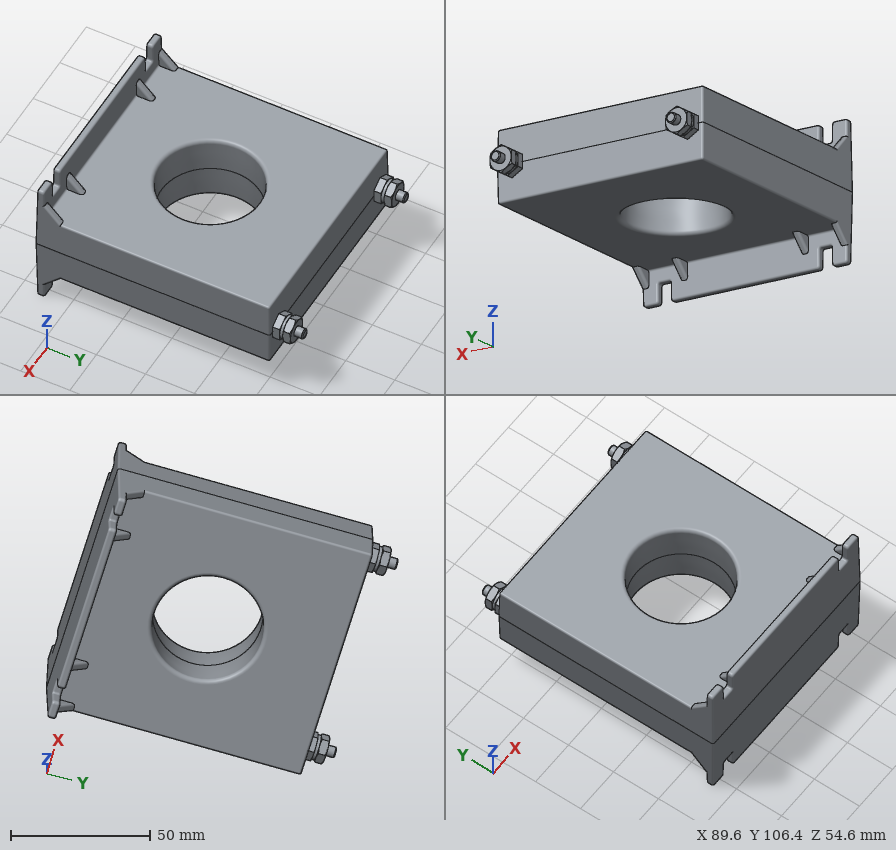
import cadquery as cq
import math

tolerance = 0.01
cut_margin = 1.0

overall_length = 106.38
overall_height = 54.61

draft_angle = 1.0
draft_slope = math.tan(math.radians(draft_angle))
housing_width = 89.59
front_y = -47.1
back_y = 48.55
housing_depth = back_y - front_y
housing_mid_y = (front_y + back_y) / 2
body_half_height = 14.0
flange_half_height = overall_height / 2
edge_radius = 0.8

window_radius = 19.85
window_rim_radius = 1.6

flange_root_y = -43.5
flange_corner_radius = 1.2
slot_spacing = 69.9
slot_width = 5.4
slot_floor_z = 19.45
slot_corner_radius = 0.8
slot_cut_length = 20.0

gusset_length = 6.5
web_overlap = 1.0
gusset_width = 3.0
inner_gusset_x = 26.2
gusset_edge_radius = 1.0

flange_top_y = flange_root_y - (flange_half_height - body_half_height) * draft_slope
gusset_top_z = body_half_height + gusset_length / (1 - draft_slope)

terminal_spacing = 76.2
hex_flats = 9.25
base_nut_height = 2.9
washer_thickness = 1.2
washer_diameter = hex_flats
top_nut_height = 3.2
nut_chamfer_height = 0.4
nut_chamfer_depth = 0.75
stud_diameter = 4.0
stud_chamfer = 0.4
stud_end_y = front_y + overall_length

hex_corners = hex_flats / math.cos(math.pi / 6)
washer_y = back_y + base_nut_height
top_nut_y = washer_y + washer_thickness


def side_x(z):
    """Half width of the drafted housing at height z."""
    return housing_width / 2 - z * draft_slope


def slab_x(x_start, x_end, points):
    """Prism between two X positions from an outline of (y, z) points."""
    return cq.Workplane("YZ").workplane(offset=x_start).polyline(points).close().extrude(x_end - x_start)


def gusset_web(x_start, x_end):
    """45 degree web behind the flange, with its sloping edges rounded."""
    toe_y = flange_root_y + gusset_length
    outline = [
        (toe_y + web_overlap, body_half_height - web_overlap),
        (front_y, body_half_height - web_overlap),
        (front_y, body_half_height + toe_y - front_y),
    ]
    web = slab_x(x_start, x_end, outline)
    return web.faces(">(0, 1, 1)").edges("not |X").fillet(gusset_edge_radius)


def drafted_envelope():
    """Solid with the full flange height whose four sides lean inward."""
    return (
        cq.Workplane("XY")
        .center(0, housing_mid_y)
        .rect(housing_width, housing_depth)
        .extrude(flange_half_height, taper=draft_angle)
    )


def clearance_above_body():
    """Space above the body and behind the flange, without the four gussets."""
    top_z = flange_half_height + cut_margin
    space_top_y = flange_root_y - (top_z - body_half_height) * draft_slope
    space = slab_x(
        -housing_width,
        housing_width,
        [
            (flange_root_y, body_half_height),
            (space_top_y, top_z),
            (back_y + cut_margin, top_z),
            (back_y + cut_margin, body_half_height),
        ],
    )
    outer_face_x = side_x(body_half_height) - gusset_width
    for side in (-1, 1):
        middle = side * inner_gusset_x
        space = space.cut(gusset_web(middle - gusset_width / 2, middle + gusset_width / 2))
        ends = sorted((side * outer_face_x, side * housing_width))
        space = space.cut(gusset_web(*ends))
    return space


def slot_cutters():
    """Open-topped mounting slots with rounded floor corners."""
    return (
        cq.Workplane("XY")
        .workplane(offset=slot_floor_z)
        .pushPoints([(-slot_spacing / 2, front_y), (slot_spacing / 2, front_y)])
        .rect(slot_width, slot_cut_length)
        .extrude(flange_half_height)
        .edges("|Y and <Z")
        .fillet(slot_corner_radius)
    )


def filleted(solid, belongs, radius):
    """Round the edges of the solid that pass the test."""
    return solid.newObject([edge for edge in solid.edges().vals() if belongs(edge)]).fillet(radius)


def near(first, second):
    return abs(first - second) < tolerance


def is_flange_root(edge):
    """Inside corner between the body top and the flange back."""
    middle = edge.Center()
    return near(middle.z, body_half_height) and near(middle.y, flange_root_y)


def is_tab_corner(edge):
    """Corners of the flange top, at its ends and at the mouths of the slots."""
    start, end = edge.startPoint(), edge.endPoint()
    at_top = near(start.z, flange_half_height) and near(end.z, flange_half_height)
    return at_top and near(start.x, end.x)


def is_front_rim(edge):
    """Front outline, including the slots and the front vertical corners."""
    front_limit = front_y + flange_half_height * draft_slope + tolerance
    return edge.BoundingBox().ymax < front_limit and edge.BoundingBox().zmax > tolerance


def is_flange_back_rim(edge):
    """Back outline of the flange and its slots, without the ends of the gussets."""
    box = edge.BoundingBox()
    in_back_face = box.ymin > flange_top_y - tolerance and box.ymax < flange_root_y
    return in_back_face and box.zmin > slot_floor_z - tolerance and not near(edge.Center().z, gusset_top_z)


def is_body_rim(edge):
    """Top outline of the body, its back vertical corners and the outer gusset slopes."""
    box = edge.BoundingBox()
    if box.zmax < tolerance or box.ymin < flange_top_y - tolerance:
        return False
    at_side = min(abs(box.xmin), abs(box.xmax)) > side_x(flange_half_height) - tolerance
    at_back = box.ymin > back_y - edge_radius
    return at_side or at_back


def window_cutter():
    """Drafted window with a rounded rim, narrowest at the parting plane."""
    slant = math.radians(90 - draft_angle)
    tangent_length = window_rim_radius * math.tan(slant / 2)
    corner_radius = window_radius + body_half_height * draft_slope
    wall_end = (
        corner_radius - tangent_length * math.sin(math.radians(draft_angle)),
        body_half_height - tangent_length * math.cos(math.radians(draft_angle)),
    )
    rim_end = (corner_radius + tangent_length, body_half_height)
    return (
        cq.Workplane("XZ")
        .lineTo(window_radius, 0)
        .lineTo(*wall_end)
        .radiusArc(rim_end, window_rim_radius)
        .lineTo(0, body_half_height)
        .close()
        .revolve(360, (0, 0), (0, 1))
    )


def housing_half():
    """Upper half of the housing, from the parting plane up."""
    half = drafted_envelope().cut(clearance_above_body()).cut(slot_cutters())
    half = filleted(half, is_flange_root, edge_radius)
    half = filleted(half, is_tab_corner, flange_corner_radius)
    half = filleted(half, is_front_rim, edge_radius)
    half = filleted(half, lambda edge: is_flange_back_rim(edge) or is_body_rim(edge), edge_radius)
    return half.cut(window_cutter())


def back_plane(y):
    """Workplane at distance y whose extrusions run toward +Y."""
    return cq.Workplane("XZ", origin=(0, y, 0)).transformed(rotate=(180, 0, 0))


def hexagon(y, length):
    """Hexagonal nut blank bored for the stud, with two corners pointing up and down."""
    prism = back_plane(y).transformed(rotate=(0, 0, 90)).polygon(6, hex_corners).extrude(length)
    return prism.cut(back_plane(y).circle(stud_diameter / 2).extrude(length))


def base_nut():
    """Plain hexagonal nut against the back of the housing."""
    return hexagon(back_y, base_nut_height)


def washer():
    """Flat washer between the two nuts."""
    ring = back_plane(washer_y).circle(washer_diameter / 2).circle(stud_diameter / 2)
    return ring.extrude(washer_thickness)


def top_nut():
    """Hexagonal nut whose corners are chamfered at both ends."""
    corner_radius = hex_corners / 2
    face_radius = corner_radius - nut_chamfer_depth
    nut_end_y = top_nut_y + top_nut_height
    rounding = (
        cq.Workplane("XY")
        .moveTo(0, top_nut_y)
        .lineTo(face_radius, top_nut_y)
        .lineTo(corner_radius, top_nut_y + nut_chamfer_height)
        .lineTo(corner_radius, nut_end_y - nut_chamfer_height)
        .lineTo(face_radius, nut_end_y)
        .lineTo(0, nut_end_y)
        .close()
        .revolve(360, (0, 0), (0, 1))
    )
    return hexagon(top_nut_y, top_nut_height).intersect(rounding)


def stud():
    """Terminal stud that carries the nuts and washer, with a chamfered tip."""
    shaft = back_plane(back_y).circle(stud_diameter / 2).extrude(stud_end_y - back_y)
    return shaft.faces(">Y").chamfer(stud_chamfer)


upper_half = housing_half()
lower_half = upper_half.mirror("XY")

terminal_parts = []
for terminal_x in (-terminal_spacing / 2, terminal_spacing / 2):
    for make_part in (stud, base_nut, washer, top_nut):
        terminal_parts.append(make_part().translate((terminal_x, 0, 0)).val())

result = cq.Compound.makeCompound([upper_half.val(), lower_half.val(), *terminal_parts])